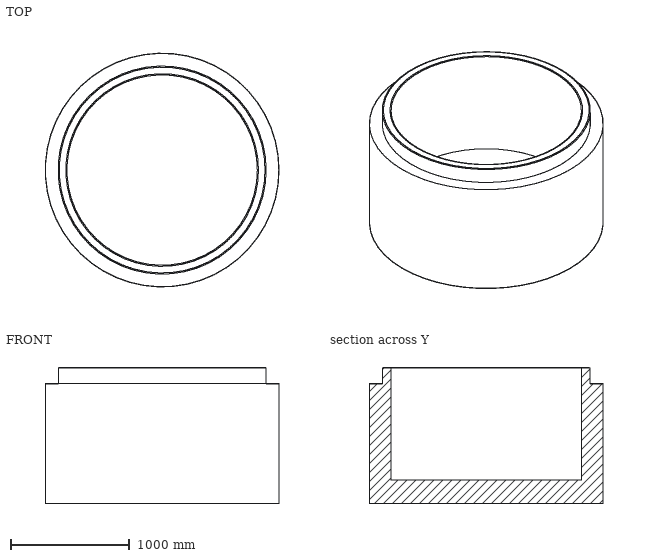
import cadquery as cq

outer_diameter = 1966.0
total_height = 1145.0
floor_thickness = 200.0

rim_diameter = 1750.0
rim_height = 135.0

bevel_width = 10.0
bevel_drop = 4.0

bore_diameter = 1600.0

outer_radius = outer_diameter / 2
rim_radius = rim_diameter / 2
bore_radius = bore_diameter / 2
shoulder_height = total_height - rim_height
bevel_start = total_height - bevel_drop

half_section = (
    cq.Workplane("XZ")
    .moveTo(0, 0)
    .lineTo(outer_radius, 0)
    .lineTo(outer_radius, shoulder_height)
    .lineTo(rim_radius, shoulder_height)
    .lineTo(rim_radius, bevel_start)
    .lineTo(rim_radius - bevel_width, total_height)
    .lineTo(bore_radius + bevel_width, total_height)
    .lineTo(bore_radius, bevel_start)
    .lineTo(bore_radius, floor_thickness)
    .lineTo(0, floor_thickness)
    .close()
)

result = half_section.revolve(360, (0, 0), (0, 1))